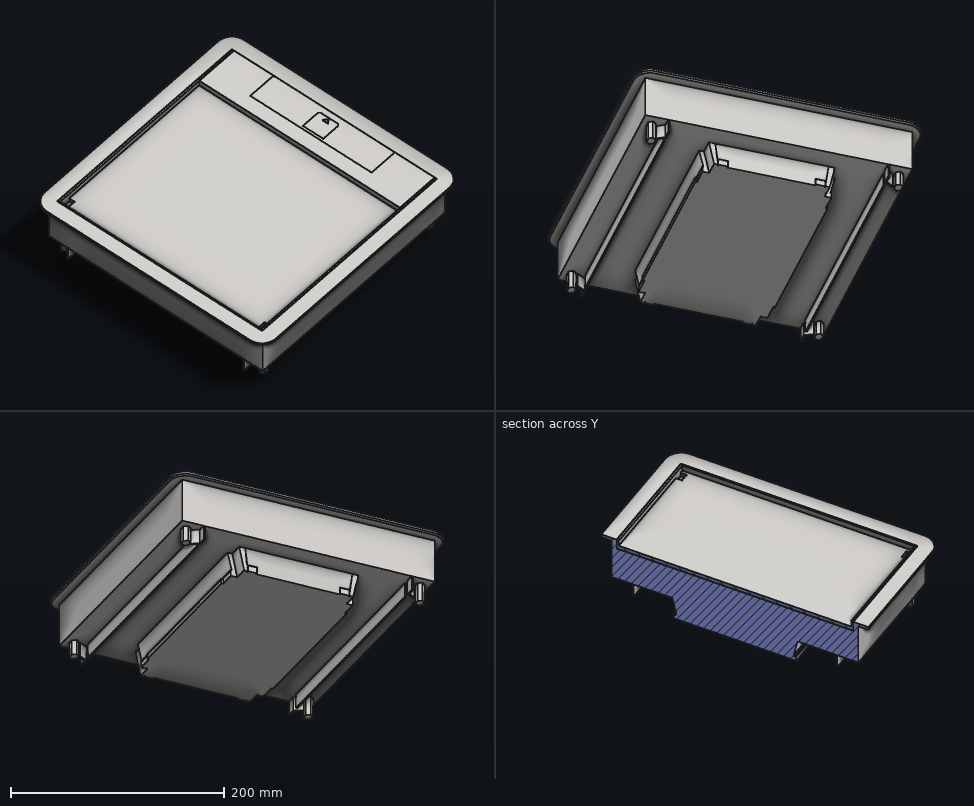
import cadquery as cq


flange_side = 285.0
flange_thickness = 4.0
flange_corner_radius = 17.7
flange_bottom_chamfer = 1.5
block_side = 263.3
block_bottom = -48.2
block_half = block_side / 2

opening_side = 252.0
opening_half = opening_side / 2
rim_width = 2.3
front_rim_width = 1.5
rim_drop = 0.5
recess_depth = 6.5
lid_floor_thickness = 4.3
lid_thickness = recess_depth + lid_floor_thickness
strip_depth = 50.2
recess_half_width = opening_half - rim_width
recess_front = -opening_half + front_rim_width
strip_front = opening_half - strip_depth
slot_width = 6.5
slot_length = 9.5
slot_front_gap = 3.5

flap_width = 149.3
flap_length = 33.5
flap_thickness = 3.5
latch_width = 25.0
latch_length = 23.5
latch_thickness = 1.7
latch_back_gap = 7.0
inlay_corner_radius = 2.3
flap_center_y = opening_half - flap_length / 2
latch_center_y = opening_half - latch_back_gap - latch_length / 2
mark_base_width = 6.8
mark_top_width = 2.3
mark_length = 3.5
mark_back_gap = 2.3
mark_depth = 0.5

box_bottom = -72.5
box_top_half_width = 62.0
box_bottom_half_width = 57.0
box_half_length = 111.0
panel_top_half_width = 56.0
panel_bottom_half_width = 52.7
panel_set_back = 1.7
side_top_half_width = 67.0
side_bottom_half_width = 61.3
side_half_length = 96.0
lip_half_width = 65.3
lip_half_length = 79.2
lip_height = 5.0
side_pad_half_width = 63.5
pad_width = 9.5
pad_height = 6.5

post_width = 7.5
post_length = 10.5
post_point = 2.5
post_inset_x = 9.7
post_inset_y = 12.3
left_post_drop = 19.5
right_post_drop = 15.5

bracket_drop = 14.5
bracket_inset = 24.0
bracket_thickness = 1.5
bracket_length = 8.3
bracket_wing_inset = 15.0
bracket_wing_end = 12.8
rail_end_gap = 15.0


def block(x_min, x_max, y_min, y_max, z_min, z_max):
    """Box given by its limits along the three axes."""
    return (
        cq.Workplane("XY")
        .box(x_max - x_min, y_max - y_min, z_max - z_min, centered=False)
        .translate((x_min, y_min, z_min))
    )


def trapezoid_bar(top_half, bottom_half, half_length):
    """Bar along Y with the height of the cable box and sloping sides."""
    outline = [
        (-bottom_half, box_bottom),
        (bottom_half, box_bottom),
        (top_half, block_bottom),
        (-top_half, block_bottom),
    ]
    return cq.Workplane("XZ").polyline(outline).close().extrude(half_length, both=True)


def inlay(width, length, thickness, center_y):
    """Flush plate whose two back corners are rounded."""
    plate = cq.Workplane("XY").box(width, length, thickness)
    plate = plate.edges("|Z and >Y").fillet(inlay_corner_radius)
    return plate.translate((0, center_y, -thickness / 2))


def flap_envelope():
    return inlay(flap_width, flap_length, flap_thickness, flap_center_y)


def latch_envelope():
    return inlay(latch_width, latch_length, latch_thickness, latch_center_y)


def front_panel_cut():
    """Wedge that leans the front wall of the cable box inward toward its bottom."""
    wedge = (
        cq.Workplane("YZ")
        .polyline(
            [
                (-box_half_length, block_bottom),
                (-box_half_length, box_bottom),
                (-box_half_length + panel_set_back, box_bottom),
            ]
        )
        .close()
        .extrude(box_top_half_width, both=True)
    )
    return wedge.intersect(trapezoid_bar(panel_top_half_width, panel_bottom_half_width, box_half_length))


def low_block(half_width, half_length, height):
    """Centred block standing on the bottom plane of the cable box."""
    return block(-half_width, half_width, -half_length, half_length, box_bottom, box_bottom + height)


def make_cable_box():
    """Tapered box with leaning end walls, wider side walls, side lips and corner pads."""
    panel = front_panel_cut()
    box = trapezoid_bar(box_top_half_width, box_bottom_half_width, box_half_length)
    box = box.cut(panel).cut(panel.mirror("XZ"))
    box = box.union(trapezoid_bar(side_top_half_width, side_bottom_half_width, side_half_length))
    box = box.union(low_block(side_pad_half_width, side_half_length, pad_height))
    box = box.union(low_block(lip_half_width, lip_half_length, lip_height))
    pad = block(
        panel_bottom_half_width - pad_width, panel_bottom_half_width,
        -box_half_length, -box_half_length + panel_set_back,
        box_bottom, box_bottom + pad_height,
    )
    pads = pad.union(pad.mirror("YZ"))
    return box.union(pads).union(pads.mirror("XZ"))


def make_post(side_x, side_y):
    """Hexagonal post with a pointed edge toward the front and the back."""
    half_width = post_width / 2
    half_length = post_length / 2
    shoulder = half_length - post_point
    drop = left_post_drop if side_x < 0 else right_post_drop
    outline = [
        (-half_width, -shoulder),
        (0, -half_length),
        (half_width, -shoulder),
        (half_width, shoulder),
        (0, half_length),
        (-half_width, shoulder),
    ]
    center = (side_x * (block_half - post_inset_x), side_y * (block_half - post_inset_y))
    post = cq.Workplane("XY").polyline(outline).close().extrude(-drop)
    return post.translate((center[0], center[1], block_bottom))


def make_bracket(side_x, side_y):
    """Short plate flush with the end wall, with a wing slanting outward."""
    inner = bracket_inset
    outer = bracket_inset - bracket_thickness
    insets = [
        (outer, 0),
        (inner, 0),
        (inner, bracket_length + bracket_thickness),
        (bracket_wing_inset, bracket_wing_end + bracket_thickness),
        (bracket_wing_inset, bracket_wing_end),
        (outer, bracket_length),
    ]
    outline = [(side_x * (block_half - x), side_y * (block_half - y)) for x, y in insets]
    return (
        cq.Workplane("XY", origin=(0, 0, block_bottom))
        .polyline(outline)
        .close()
        .extrude(-bracket_drop)
    )


def make_rails():
    """Plates along Y under the two sides, in line with the brackets."""
    rail_x = block_half - bracket_inset
    half_length = block_half - rail_end_gap
    rail = block(
        rail_x, rail_x + bracket_thickness,
        -half_length, half_length,
        block_bottom - bracket_drop, block_bottom,
    )
    return rail.union(rail.mirror("YZ"))


def make_housing():
    """Flange and housing block with the lid seat, cable box, posts, brackets and rails."""
    flange = (
        cq.Workplane("XY")
        .rect(flange_side, flange_side)
        .extrude(-flange_thickness)
        .edges("|Z")
        .fillet(flange_corner_radius)
        .faces("<Z")
        .chamfer(flange_bottom_chamfer)
    )
    body = cq.Workplane("XY").rect(block_side, block_side).extrude(block_bottom)
    seat = cq.Workplane("XY").rect(opening_side, opening_side).extrude(-lid_thickness)
    housing = flange.union(body).cut(seat).union(make_cable_box()).union(make_rails())
    for side_x in (-1, 1):
        for side_y in (-1, 1):
            housing = housing.union(make_post(side_x, side_y)).union(make_bracket(side_x, side_y))
    return housing


def make_lid():
    """Tray with a thin rim, a raised back strip and two slots in the front corners."""
    lid = cq.Workplane("XY").rect(opening_side, opening_side).extrude(-lid_thickness)
    rim_top = block(-opening_half, opening_half, -opening_half, opening_half, -rim_drop, 0)
    strip_top = block(-recess_half_width, recess_half_width, strip_front, opening_half, -rim_drop, 0)
    recess = block(-recess_half_width, recess_half_width, recess_front, strip_front, -recess_depth, 0)
    lid = lid.cut(rim_top.cut(strip_top)).cut(recess)
    slot_front = recess_front + slot_front_gap
    slot = block(
        recess_half_width - slot_width, recess_half_width,
        slot_front, slot_front + slot_length,
        -lid_thickness, -recess_depth,
    )
    return lid.cut(slot).cut(slot.mirror("YZ")).cut(flap_envelope())


def make_flap():
    """Cable flap set flush into the back strip, with a seat for the latch."""
    return flap_envelope().cut(latch_envelope())


def make_latch():
    """Flush latch plate with a small sunken finger mark."""
    mark_back = latch_center_y + latch_length / 2 - mark_back_gap
    mark_front = mark_back - mark_length
    mark = (
        cq.Workplane("XY")
        .polyline(
            [
                (-mark_base_width / 2, mark_front),
                (mark_base_width / 2, mark_front),
                (mark_top_width / 2, mark_back),
                (-mark_top_width / 2, mark_back),
            ]
        )
        .close()
        .extrude(-mark_depth)
    )
    return latch_envelope().cut(mark)


housing = make_housing()
lid = make_lid()
flap = make_flap()
latch = make_latch()

result = cq.Compound.makeCompound([housing.val(), lid.val(), flap.val(), latch.val()])